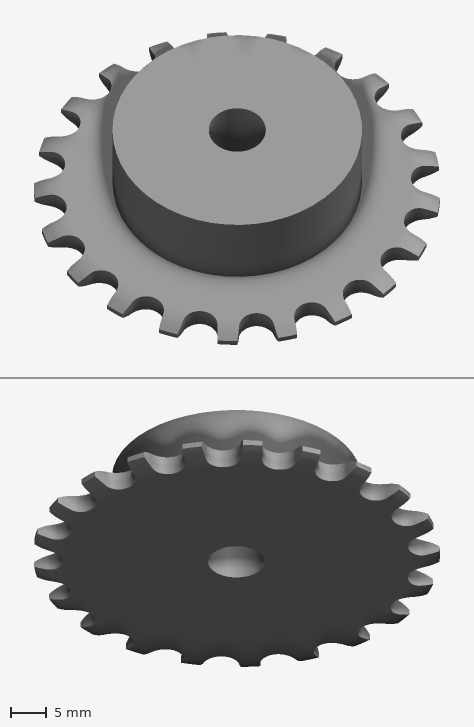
import cadquery as cq
import math

tooth_count = 21
chain_pitch = 8.0
roller_diameter = 5.0
roller_seat_radius = roller_diameter / 2
flank_factor = 0.12
flank_radius = flank_factor * roller_diameter * (tooth_count + 2)
tip_diameter = 57.0

rim_thickness = 2.8
side_relief = 1.0
side_relief_radius = 8.0

hub_diameter = 35.0
overall_height = 14.0
bore_diameter = 8.0

tooth_angle = 360.0 / tooth_count
half_tooth_angle = math.radians(tooth_angle / 2)
pitch_radius = chain_pitch / 2 / math.sin(half_tooth_angle)
tip_radius = tip_diameter / 2
relief_drop = side_relief_radius - side_relief
flat_face_radius = tip_radius - math.sqrt(side_relief_radius**2 - relief_drop**2)
first_tooth_angle = 90.0
flank_sweep = math.radians(12.0)


def make_rim():
    """Revolved disc whose faces are flat, then arc tangentially in to a narrow tip."""
    mid_angle = math.asin((tip_radius - flat_face_radius) / side_relief_radius) / 2
    arc_mid_radius = flat_face_radius + side_relief_radius * math.sin(mid_angle)
    arc_mid_drop = side_relief_radius * (1 - math.cos(mid_angle))
    return (
        cq.Workplane("XZ")
        .lineTo(flat_face_radius, 0)
        .threePointArc((arc_mid_radius, arc_mid_drop), (tip_radius, side_relief))
        .lineTo(tip_radius, rim_thickness - side_relief)
        .threePointArc((arc_mid_radius, rim_thickness - arc_mid_drop), (flat_face_radius, rim_thickness))
        .lineTo(0, rim_thickness)
        .close()
        .revolve(360, (0, 0), (0, 1))
    )


def flank_point(sweep):
    """Point on the +Y flank of the gap, at an arc angle measured from the end of the roller seat."""
    centre_distance = roller_seat_radius + flank_radius
    centre_x = pitch_radius - centre_distance * math.sin(half_tooth_angle)
    centre_y = centre_distance * math.cos(half_tooth_angle)
    direction = half_tooth_angle + sweep
    return (
        centre_x + flank_radius * math.sin(direction),
        centre_y - flank_radius * math.cos(direction),
    )


def mirrored(point):
    return (point[0], -point[1])


def make_tooth_gap():
    """Gap centred on +X: a round roller seat running tangentially into two convex tooth flanks.

    Each flank leaves the seat parallel to the centre line of its tooth.
    """
    seat_end = flank_point(0)
    flank_middle = flank_point(flank_sweep / 2)
    flank_end = flank_point(flank_sweep)
    seat_bottom = (pitch_radius - roller_seat_radius, 0)
    return (
        cq.Workplane("XY")
        .moveTo(*flank_end)
        .threePointArc(flank_middle, seat_end)
        .threePointArc(seat_bottom, mirrored(seat_end))
        .threePointArc(mirrored(flank_middle), mirrored(flank_end))
        .close()
        .extrude(rim_thickness)
    )


def cut_teeth(rim):
    """Cut one gap between each pair of neighbouring teeth."""
    gap = make_tooth_gap()
    for index in range(tooth_count):
        gap_angle = first_tooth_angle + (index + 0.5) * tooth_angle
        rim = rim.cut(gap.rotate((0, 0, 0), (0, 0, 1), gap_angle))
    return rim


def make_hub():
    return cq.Workplane("XY").circle(hub_diameter / 2).extrude(overall_height)


def make_bore():
    return cq.Workplane("XY").circle(bore_diameter / 2).extrude(overall_height)


result = cut_teeth(make_rim()).union(make_hub()).cut(make_bore())